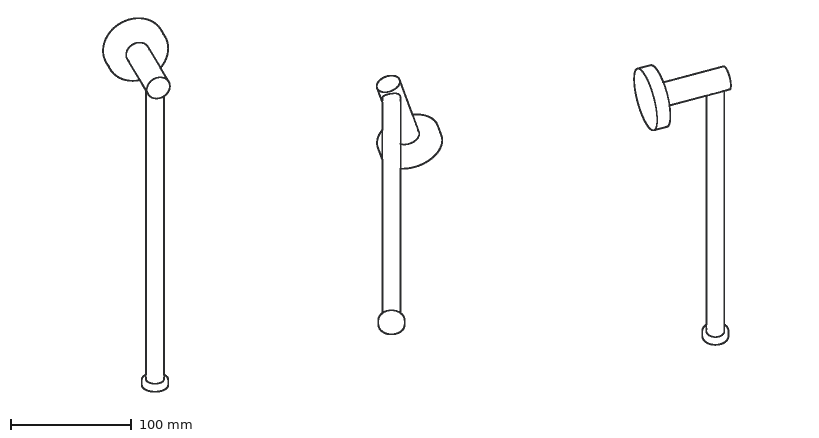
import cadquery as cq

plate_diameter = 53.0
plate_thickness = 12.0

arm_diameter = 20.0
arm_end_x = 72.0

rod_diameter = 15.0
rod_x = 62.0
cap_diameter = 22.0
cap_height = 6.0

edge_radius = 0.5

overall_height = 316.5
cap_bottom_z = plate_diameter / 2 - overall_height


def make_plate():
    """Disc with its outer front edge rounded."""
    disc = cq.Workplane("YZ").circle(plate_diameter / 2).extrude(plate_thickness)
    return disc.faces(">X").edges().fillet(edge_radius)


def make_arm():
    """Straight round bar from the plate's back face to the free end."""
    return cq.Workplane("YZ").circle(arm_diameter / 2).extrude(arm_end_x)


def make_rod():
    """Vertical round bar from the underside of the cap to the arm axis."""
    base = cq.Workplane("XY", origin=(rod_x, 0, cap_bottom_z))
    return base.circle(rod_diameter / 2).extrude(-cap_bottom_z)


def make_cap():
    """Wider disc at the foot of the rod, with both rims rounded."""
    base = cq.Workplane("XY", origin=(rod_x, 0, cap_bottom_z))
    disc = base.circle(cap_diameter / 2).extrude(cap_height)
    return disc.faces("<Z or >Z").edges().fillet(edge_radius)


result = make_plate().union(make_arm()).union(make_rod()).union(make_cap())